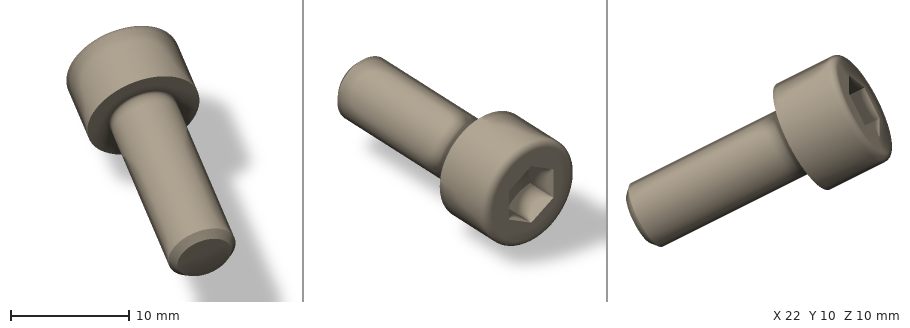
import cadquery as cq
import math

total_length = 22.0
head_diameter = 10.0
head_height = 6.0
head_edge_radius = 0.6
shank_diameter = 6.0
tip_chamfer = 0.62
neck_fillet_radius = 0.13

socket_across_flats = 5.0
socket_depth = 3.0
socket_cone_angle = 120.0


def make_head():
    return cq.Workplane("YZ").circle(head_diameter / 2).extrude(head_height)


def make_shank():
    shank = (
        cq.Workplane("YZ", origin=(head_height, 0, 0))
        .circle(shank_diameter / 2)
        .extrude(total_length - head_height)
    )
    return shank.faces(">X").edges().chamfer(tip_chamfer)


def round_neck(screw):
    """Round the inner corner between the shank and the underside of the head."""
    shank_ends = screw.edges("%CIRCLE").edges(cq.selectors.RadiusNthSelector(1))
    return shank_ends.edges("<X").fillet(neck_fillet_radius)


def round_head_edge(screw):
    return screw.faces("<X").edges().fillet(head_edge_radius)


def make_socket():
    """Hexagon with flats facing +Y and -Y, ended by a cone through its corners."""
    half_side_angle = 180 / 6
    corner_radius = socket_across_flats / 2 / math.cos(math.radians(half_side_angle))
    cone_height = corner_radius / math.tan(math.radians(socket_cone_angle / 2))
    tip_depth = socket_depth + cone_height

    hexagon = (
        cq.Workplane("YZ")
        .polygon(6, 2 * corner_radius)
        .extrude(tip_depth)
        .rotate((0, 0, 0), (1, 0, 0), half_side_angle)
    )
    pointed_rod = (
        cq.Workplane("XY")
        .polyline([(0, 0), (0, corner_radius), (socket_depth, corner_radius), (tip_depth, 0)])
        .close()
        .revolve(360, (0, 0, 0), (1, 0, 0))
    )
    return hexagon.intersect(pointed_rod)


screw = make_head().union(make_shank())
screw = round_neck(screw)
screw = round_head_edge(screw)
result = screw.cut(make_socket())